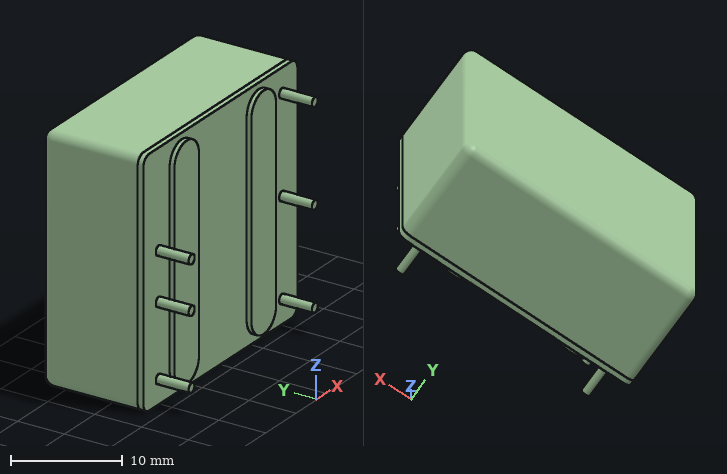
import cadquery as cq

side = 25.4
total_depth = 14.4
edge_radius = 1.0
base_thickness = 0.6
pin_length = 3.5
pin_diameter = 1.0
pitch = 2.55
pad_width = 4.06
pad_length = 24.08
pad_thickness = 0.5
pad_spacing = 12.7

case_depth = total_depth - pin_length - base_thickness
pin_column = 4 * pitch
pin_positions = [
    (-pin_column, pitch),
    (-pin_column, -pitch),
    (-pin_column, -4 * pitch),
    (pin_column, 4 * pitch),
    (pin_column, 0),
    (pin_column, -4 * pitch),
]


def rounded_block(front_y, depth):
    """Square block with rounded corners, reaching from front_y toward +Y."""
    return (
        cq.Workplane("XZ", origin=(0, front_y, 0))
        .rect(side, side)
        .extrude(-depth)
        .edges("|Y")
        .fillet(edge_radius)
    )


def make_case():
    """Block behind the base, with its back edges rounded."""
    return rounded_block(base_thickness, case_depth).faces(">Y").edges().fillet(edge_radius)


def make_base():
    """Base plate that carries the six terminal pins."""
    pins = (
        cq.Workplane("XZ")
        .pushPoints(pin_positions)
        .circle(pin_diameter / 2)
        .extrude(pin_length)
    )
    return rounded_block(0, base_thickness).union(pins)


def make_pad(center_x):
    """Round-ended standoff pad lying on the front face of the base."""
    return (
        cq.Workplane("XZ", origin=(center_x, 0, 0))
        .slot2D(pad_length, pad_width, 90)
        .extrude(pad_thickness)
    )


case = make_case()
base = make_base()
pads = []
for pad_x in (-pad_spacing / 2, pad_spacing / 2):
    pads.append(make_pad(pad_x).val())

result = cq.Compound.makeCompound([case.val(), base.val(), *pads])